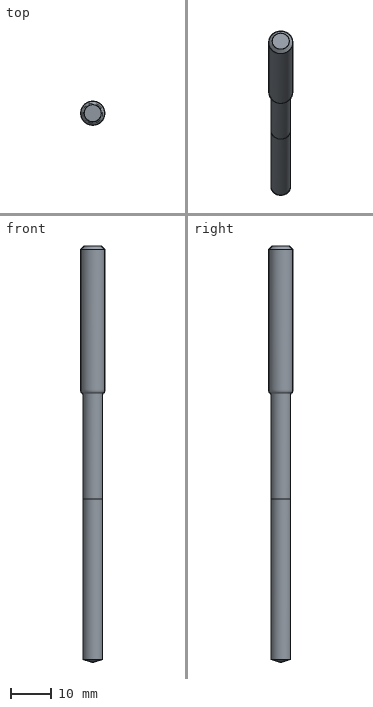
import cadquery as cq
import math

total_length = 104.0
shank_diameter = 6.0
drill_diameter = 5.0
point_angle = 145.0
drill_length = 40.9
neck_end_height = 67.0
shoulder_height = 1.1
shoulder_drop_height = 0.3
end_flat_diameter = 4.3
end_chamfer_height = 0.8

shank_radius = shank_diameter / 2
drill_radius = drill_diameter / 2
end_flat_radius = end_flat_diameter / 2
point_height = drill_radius / math.tan(math.radians(point_angle / 2))
shank_start_height = neck_end_height + shoulder_height
shoulder_middle = ((drill_radius + shank_radius) / 2, neck_end_height + shoulder_drop_height)


def make_drill():
    """Cylindrical cutting part with a conical point."""
    return (
        cq.Workplane("XZ")
        .lineTo(drill_radius, point_height)
        .lineTo(drill_radius, drill_length)
        .lineTo(0, drill_length)
        .close()
        .revolve(360, (0, 0), (0, 1))
    )


def make_shank():
    """Neck, S-shaped shoulder and chamfered shank, seated on the end of the cutting part."""
    return (
        cq.Workplane("XZ")
        .moveTo(0, drill_length)
        .lineTo(drill_radius, drill_length)
        .lineTo(drill_radius, neck_end_height)
        .spline(
            [shoulder_middle, (shank_radius, shank_start_height)],
            tangents=[(0, 1), (0, 1)],
            includeCurrent=True,
        )
        .lineTo(shank_radius, total_length - end_chamfer_height)
        .lineTo(end_flat_radius, total_length)
        .lineTo(0, total_length)
        .close()
        .revolve(360, (0, 0), (0, 1))
    )


drill = make_drill()
shank = make_shank()

result = cq.Compound.makeCompound([drill.val(), shank.val()])